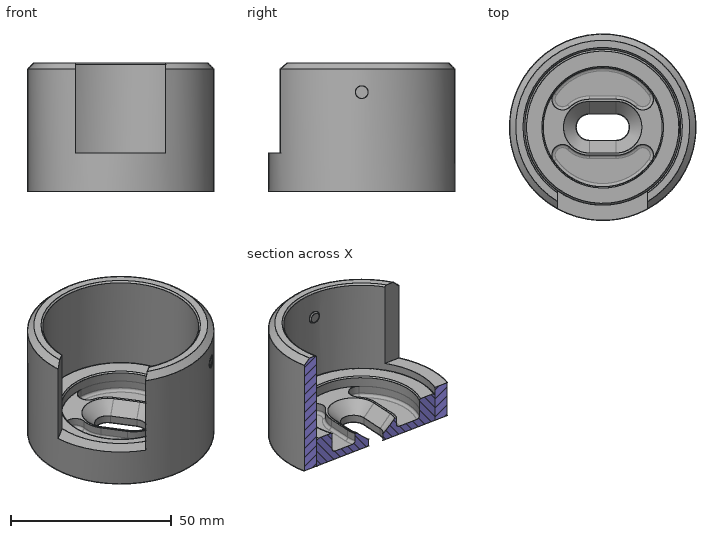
import cadquery as cq
import math

outer_diameter = 58.0
outer_radius = outer_diameter / 2
housing_height = 40.0
bore_radius = 24.25
outer_chamfer = 2.0
bore_chamfer = 0.5
window_width = 27.95
window_sill = 12.0

plate_height = 10.0
plate_edge_chamfer = 0.6
recess_radius = 18.5
recess_floor = 6.5
recess_chamfer = 0.4

slot_length = 16.5
slot_width = 8.1
slot_radius = slot_width / 2
slot_center_distance = slot_length - slot_width
slot_center_x = slot_center_distance / 2
countersink_depth = 3.95

pocket_floor = 3.0
pocket_inner_radius = 8.7
pocket_end_radius = 3.3
pocket_fillet = 1.0

screw_radius = 2.0
screw_height = 30.9
screw_tip_x = 23.65
screw_head_x = 28.7
screw_tip_chamfer = 0.4


def make_housing():
    body = cq.Workplane("XY").circle(outer_radius).extrude(housing_height)
    body = body.faces(">Z").chamfer(outer_chamfer)
    body = body.cut(cq.Workplane("XY").circle(bore_radius).extrude(housing_height))
    bore_rim = cq.selectors.RadiusNthSelector(0)
    body = body.faces(">Z").edges(bore_rim).chamfer(bore_chamfer)
    window = cq.Workplane("XY").box(
        window_width, outer_radius, housing_height, centered=(True, False, False)
    )
    body = body.cut(window.translate((0, -outer_radius, window_sill)))
    screw_hole = cq.Workplane("YZ").center(0, screw_height).circle(screw_radius).extrude(outer_radius)
    return body.cut(screw_hole)


def make_countersunk_slot():
    """Cutter: a straight slot that widens at 45 degrees up to the recess floor."""
    straight = cq.Workplane("XY").slot2D(slot_length, slot_width).extrude(recess_floor)
    top_radius = slot_radius + countersink_depth
    cone_bottom = recess_floor - countersink_depth
    flare = (
        cq.Workplane("XZ", origin=(0, slot_center_distance / 2, 0))
        .polyline(
            [
                (-slot_radius, cone_bottom),
                (slot_radius, cone_bottom),
                (top_radius, recess_floor),
                (-top_radius, recess_floor),
            ]
        )
        .close()
        .extrude(slot_center_distance)
        .rotate((0, 0, 0), (0, 0, 1), 90)
    )
    cutter = straight.union(flare)
    for side in (-1, 1):
        cone = cq.Solid.makeCone(
            slot_radius,
            top_radius,
            countersink_depth,
            pnt=cq.Vector(side * slot_center_x, 0, cone_bottom),
        )
        cutter = cutter.union(cq.Workplane(cone))
    return cutter


def make_crescent_pocket():
    """Cutter on the +Y side: tangent arcs between the recess wall and the slot's surround."""
    center_reach = recess_radius - pocket_end_radius
    slot_reach = pocket_inner_radius + pocket_end_radius
    end_x = (center_reach**2 - slot_reach**2 + slot_center_x**2) / (2 * slot_center_x)
    end_y = math.sqrt(center_reach**2 - end_x**2)

    outer_x = end_x * recess_radius / center_reach
    outer_y = end_y * recess_radius / center_reach
    toward_end_x = (end_x - slot_center_x) / slot_reach
    toward_end_y = end_y / slot_reach
    inner_x = slot_center_x + pocket_inner_radius * toward_end_x
    inner_y = pocket_inner_radius * toward_end_y

    end_turn = (math.atan2(end_y, end_x) + math.atan2(-toward_end_y, -toward_end_x)) / 2
    tip_x = end_x + pocket_end_radius * math.cos(end_turn)
    tip_y = end_y + pocket_end_radius * math.sin(end_turn)
    slot_turn = (math.pi / 2 + math.atan2(toward_end_y, toward_end_x)) / 2
    shoulder_x = slot_center_x + pocket_inner_radius * math.cos(slot_turn)
    shoulder_y = pocket_inner_radius * math.sin(slot_turn)

    pocket = (
        cq.Workplane("XY", origin=(0, 0, pocket_floor))
        .moveTo(-outer_x, outer_y)
        .threePointArc((0, recess_radius), (outer_x, outer_y))
        .threePointArc((tip_x, tip_y), (inner_x, inner_y))
        .threePointArc((shoulder_x, shoulder_y), (slot_center_x, pocket_inner_radius))
        .lineTo(-slot_center_x, pocket_inner_radius)
        .threePointArc((-shoulder_x, shoulder_y), (-inner_x, inner_y))
        .threePointArc((-tip_x, tip_y), (-outer_x, outer_y))
        .close()
        .extrude(recess_floor - pocket_floor)
    )
    return pocket.faces("<Z").edges().fillet(pocket_fillet)


def make_base_plate():
    plate = cq.Workplane("XY").circle(bore_radius).extrude(plate_height)
    plate = plate.faces(">Z").chamfer(plate_edge_chamfer)
    recess = cq.Workplane("XY", origin=(0, 0, recess_floor)).circle(recess_radius).extrude(plate_height)
    plate = plate.cut(recess)
    recess_rim = cq.selectors.RadiusNthSelector(0)
    plate = plate.faces(">Z").edges(recess_rim).chamfer(recess_chamfer)
    plate = plate.cut(make_countersunk_slot())
    pocket = make_crescent_pocket()
    for side_angle in (0, 180):
        plate = plate.cut(pocket.rotate((0, 0, 0), (0, 0, 1), side_angle))
    return plate


def make_set_screw():
    screw = (
        cq.Workplane("YZ", origin=(screw_tip_x, 0, screw_height))
        .circle(screw_radius)
        .extrude(screw_head_x - screw_tip_x)
    )
    return screw.faces("<X").chamfer(screw_tip_chamfer)


housing = make_housing()
base_plate = make_base_plate()
set_screw = make_set_screw()

result = cq.Compound.makeCompound([housing.val(), base_plate.val(), set_screw.val()])